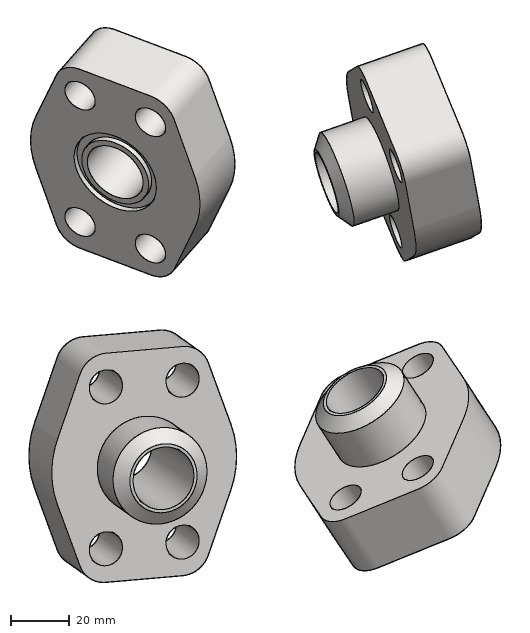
import cadquery as cq
import math

plate_height = 81.0
plate_thickness = 24.0
plate_width = 67.0
side_radius = plate_width / 2
corner_radius = 10.0

bolt_spacing_x = 27.8
bolt_spacing_z = 57.2
bolt_hole_diameter = 12.0

total_depth = 44.0
neck_diameter = 34.0
neck_chamfer_length = 3.65
neck_chamfer_width = 4.9
bore_diameter = 22.0

groove_outer_diameter = 32.5
groove_inner_diameter = 26.4
groove_depth = 2.0

corner_x = bolt_spacing_x / 2
corner_z = plate_height / 2 - corner_radius
corner_distance = math.hypot(corner_x, corner_z)
flank_angle = math.atan2(corner_z, corner_x) - math.acos((side_radius - corner_radius) / corner_distance)


def arc_point(center_x, center_z, radius, angle):
    return (center_x + radius * math.cos(angle), center_z + radius * math.sin(angle))


def mirror_x(point):
    return (-point[0], point[1])


def mirror_z(point):
    return (point[0], -point[1])


def disc(diameter, start_y, end_y):
    """Cylinder along the bore axis between two Y positions."""
    return cq.Workplane("XZ", origin=(0, start_y, 0)).circle(diameter / 2).extrude(start_y - end_y)


def make_plate():
    top = (corner_x, plate_height / 2)
    corner_middle = arc_point(corner_x, corner_z, corner_radius, (flank_angle + math.pi / 2) / 2)
    corner_end = arc_point(corner_x, corner_z, corner_radius, flank_angle)
    side_start = arc_point(0, 0, side_radius, flank_angle)
    return (
        cq.Workplane("XZ")
        .moveTo(*mirror_x(top))
        .lineTo(*top)
        .threePointArc(corner_middle, corner_end)
        .lineTo(*side_start)
        .threePointArc((side_radius, 0), mirror_z(side_start))
        .lineTo(*mirror_z(corner_end))
        .threePointArc(mirror_z(corner_middle), mirror_z(top))
        .lineTo(*mirror_x(mirror_z(top)))
        .threePointArc(mirror_x(mirror_z(corner_middle)), mirror_x(mirror_z(corner_end)))
        .lineTo(*mirror_x(mirror_z(side_start)))
        .threePointArc((-side_radius, 0), mirror_x(side_start))
        .lineTo(*mirror_x(corner_end))
        .threePointArc(mirror_x(corner_middle), mirror_x(top))
        .close()
        .extrude(-plate_thickness)
    )


def make_neck():
    neck = disc(neck_diameter, plate_thickness, total_depth)
    return neck.faces(">Y").chamfer(neck_chamfer_length, neck_chamfer_width)


def make_bolt_holes():
    return (
        cq.Workplane("XZ")
        .rarray(bolt_spacing_x, bolt_spacing_z, 2, 2)
        .circle(bolt_hole_diameter / 2)
        .extrude(-plate_thickness)
    )


def make_seal_groove():
    return disc(groove_outer_diameter, 0, groove_depth).cut(disc(groove_inner_diameter, 0, groove_depth))


result = (
    make_plate()
    .union(make_neck())
    .cut(make_bolt_holes())
    .cut(disc(bore_diameter, 0, total_depth))
    .cut(make_seal_groove())
)